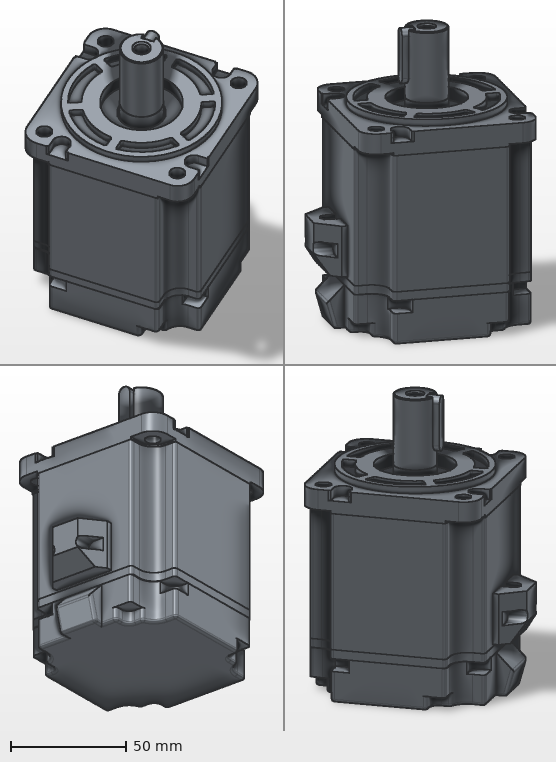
import cadquery as cq
import math


PILOT_TOP_Z = 3.0
EAR_UNDERSIDE_Z = -9.2
FLANGE_BOTTOM_Z = -10.4
STATOR_BOTTOM_Z = -72.1
SPACER_BOTTOM_Z = -76.2
MOTOR_BOTTOM_Z = -96.0

FRAME = 80.0
HALF = FRAME / 2
CHANNEL_RADIUS = 8.0
STATOR_CHANNEL_CENTRE = 34.5
COVER_CHANNEL_CENTRE = 34.1
CHANNEL_LIP_RADIUS = 1.6

FLANGE_CORNER_RADIUS = 8.0
BOLT_CIRCLE = 90.0
BOLT_HOLE = 7.0
BOLT_OFFSET = BOLT_CIRCLE / 2 / math.sqrt(2)
PILOT_RADIUS = 35.0
RECESS_RADIUS = 18.0
RECESS_FLOOR_Z = -3.0
SEAL_BORE_RADIUS = 10.6
SEAL_BORE_DEPTH = 3.0

ARC_POCKETS = 6
ARC_POCKET_OUTER_RADIUS = 32.0
ARC_POCKET_INNER_RADIUS = 26.0
ARC_POCKET_WEB = 4.6
ARC_POCKET_CORNER_RADIUS = 1.0
ARC_POCKET_FLOOR_Z = -0.3

EDGE_SLOT_OFFSET = 22.0
EDGE_SLOT_WIDTH = 8.2
EDGE_SLOT_LENGTH = 8.8
EDGE_SLOT_DEPTH = 4.6
EDGE_SLOT_MOUTH_WIDTH = 10.4
EDGE_SLOT_MOUTH_DEPTH = 0.4

POCKET_OUTER_SIDE = 28.0
COVER_BOTTOM_RADIUS = 1.5
SCREW_POCKET_HEIGHT = 5.8
SCREW_POCKET_BACK = 31.6
SCREW_POCKET_SIDE = 17.6
SCREW_POCKET_CORNER_RADIUS = 5.0
FOOT_POCKET_HEIGHT = 6.4
FOOT_POCKET_BACK = 32.2
FOOT_POCKET_SIDE = 18.0
FOOT_POCKET_CORNER_RADIUS = 3.8
FOOT_POCKET_EDGE_RADIUS = 1.9

OUTLET_WIDTH = 20.0
OUTLET_TIP_Y = 47.8
OUTLET_TIP_Z = -83.9
OUTLET_FOOT_Y = 44.4
OUTLET_EDGE_RADIUS = 1.5
OUTLET_ROOT_Y = 36.0

CONNECTOR_TOP_Z = -48.0
CONNECTOR_BOTTOM_Z = -71.0
CONNECTOR_HALF_WIDTH = 15.2
CONNECTOR_TIP_HALF_WIDTH = 7.0
CONNECTOR_SHOULDER_Y = 42.7
CONNECTOR_TIP_Y = 53.0
CONNECTOR_BEVEL_Y = 47.0
CONNECTOR_BEVEL_Z = -62.1
SOCKET_WIDTH = 7.0
SOCKET_END_Y = 48.2
SOCKET_DEPTH = 2.0
SCREW_SEAT_RADIUS = 3.1
SCREW_SEAT_X = 9.0
SCREW_SEAT_Y = 44.1
SCREW_SEAT_Z = -59.4

SHAFT_RADIUS = 9.5
SHAFT_TOP_Z = 35.0
SHAFT_CHAMFER = 0.5
JOURNAL_RADIUS = 9.6
TAP_RADIUS = 3.3
TAP_COUNTERSINK = 0.8
TAP_DEPTH = 20.0
KEY_SIZE = 6.0
KEY_LENGTH = 25.0
KEY_SEAT_Y = 6.0

QUARTER_TURNS = (0, 90, 180, 270)
Z_AXIS = ((0, 0, 0), (0, 0, 1))


def around_frame(tool):
    """One copy of a cutting tool on each of the four sides."""
    return [tool.rotate(*Z_AXIS, angle) for angle in QUARTER_TURNS]


def cut_each(body, tools):
    for tool in tools:
        body = body.cut(tool)
    return body


def channelled_prism(bottom_z, top_z, channel_centre):
    """Square prism whose four corners are hollowed by round-bottomed channels."""
    height = top_z - bottom_z
    base = cq.Workplane("XY").workplane(offset=bottom_z)
    prism = base.rect(FRAME, FRAME).extrude(height)
    reach = FRAME
    channel = (
        base.center(-channel_centre - reach / 2, -channel_centre - reach / 2)
        .rect(reach + 2 * CHANNEL_RADIUS, reach + 2 * CHANNEL_RADIUS)
        .extrude(height)
        .edges(">X and >Y")
        .fillet(CHANNEL_RADIUS)
    )
    prism = cut_each(prism, around_frame(channel))
    return prism


def round_upright_edge(body, x, y, radius):
    """Fillet the vertical edge that stands at (x, y)."""
    margin = 0.1
    beside_edge = cq.selectors.BoxSelector(
        (x - margin, y - margin, MOTOR_BOTTOM_Z), (x + margin, y + margin, PILOT_TOP_Z)
    )
    return body.edges("|Z").edges(beside_edge).fillet(radius)


def round_channel_lips(body, channel_centre):
    """Fillet the two edges where each channel meets the flat sides."""
    lip = channel_centre - CHANNEL_RADIUS
    for x in (-lip, lip):
        for y in (-HALF, HALF):
            body = round_upright_edge(body, x, y, CHANNEL_LIP_RADIUS)
            body = round_upright_edge(body, y, x, CHANNEL_LIP_RADIUS)
    return body


def edge_slot(offset, width, length, bottom_z, height):
    """Round-ended slot running in from the -Y side."""
    end_y = -HALF + length - width / 2
    base = cq.Workplane("XY").workplane(offset=bottom_z)
    run_out = base.center(offset, end_y - HALF / 2).rect(width, HALF).extrude(height)
    return run_out.union(base.center(offset, end_y).circle(width / 2).extrude(height))


def arc_pocket():
    """Ring sector beside the +Y axis with sides parallel to the webs."""
    height = PILOT_TOP_Z - ARC_POCKET_FLOOR_Z
    base = cq.Workplane("XY").workplane(offset=ARC_POCKET_FLOOR_Z)
    ring = base.circle(ARC_POCKET_OUTER_RADIUS).circle(ARC_POCKET_INNER_RADIUS).extrude(height)
    beside_web = base.center(PILOT_RADIUS + ARC_POCKET_WEB / 2, 0).rect(2 * PILOT_RADIUS, 4 * PILOT_RADIUS)
    first_side = beside_web.extrude(height)
    pitch = 360 / ARC_POCKETS
    second_side = first_side.rotate(*Z_AXIS, 180 - pitch)
    sector = ring.intersect(first_side).intersect(second_side)
    return sector.edges("|Z").fillet(ARC_POCKET_CORNER_RADIUS)


def make_flange():
    plate = (
        cq.Workplane("XY")
        .rect(FRAME, FRAME)
        .extrude(EAR_UNDERSIDE_Z)
        .edges("|Z")
        .fillet(FLANGE_CORNER_RADIUS)
    )
    spigot = channelled_prism(FLANGE_BOTTOM_Z, EAR_UNDERSIDE_Z, COVER_CHANNEL_CENTRE)
    pilot = cq.Workplane("XY").circle(PILOT_RADIUS).extrude(PILOT_TOP_Z)
    flange = plate.union(spigot).union(pilot)

    bolt_holes = (
        cq.Workplane("XY")
        .rect(2 * BOLT_OFFSET, 2 * BOLT_OFFSET, forConstruction=True)
        .vertices()
        .circle(BOLT_HOLE / 2)
        .extrude(FLANGE_BOTTOM_Z)
    )
    flange = flange.cut(bolt_holes)

    pocket = arc_pocket()
    flange = cut_each(flange, [pocket.rotate(*Z_AXIS, i * 360 / ARC_POCKETS) for i in range(ARC_POCKETS)])

    slot = edge_slot(-EDGE_SLOT_OFFSET, EDGE_SLOT_WIDTH, EDGE_SLOT_LENGTH, -EDGE_SLOT_DEPTH, EDGE_SLOT_DEPTH)
    mouth = cq.Workplane("XY").box(
        EDGE_SLOT_MOUTH_WIDTH, 2 * EDGE_SLOT_MOUTH_DEPTH, EDGE_SLOT_DEPTH
    ).translate((-EDGE_SLOT_OFFSET, -HALF, -EDGE_SLOT_DEPTH / 2))
    flange = cut_each(flange, around_frame(slot.union(mouth)))

    top = cq.Workplane("XY").workplane(offset=PILOT_TOP_Z)
    recess = top.circle(RECESS_RADIUS).extrude(RECESS_FLOOR_Z - PILOT_TOP_Z)
    seal_bore = top.circle(SEAL_BORE_RADIUS).extrude(RECESS_FLOOR_Z - SEAL_BORE_DEPTH - PILOT_TOP_Z)
    shaft_bore = top.circle(JOURNAL_RADIUS).extrude(FLANGE_BOTTOM_Z - PILOT_TOP_Z)
    return flange.cut(recess).cut(seal_bore).cut(shaft_bore)


def make_stator():
    prism = channelled_prism(STATOR_BOTTOM_Z, FLANGE_BOTTOM_Z, STATOR_CHANNEL_CENTRE)
    return round_channel_lips(prism, STATOR_CHANNEL_CENTRE)


def make_spacer():
    prism = channelled_prism(SPACER_BOTTOM_Z, STATOR_BOTTOM_Z, STATOR_CHANNEL_CENTRE)
    return round_channel_lips(prism, STATOR_CHANNEL_CENTRE)


def cable_outlet():
    """Wedge leaning out of the back of the cover."""
    outline = [
        (OUTLET_ROOT_Y, MOTOR_BOTTOM_Z),
        (OUTLET_ROOT_Y, SPACER_BOTTOM_Z),
        (HALF, SPACER_BOTTOM_Z),
        (OUTLET_TIP_Y, OUTLET_TIP_Z),
        (OUTLET_FOOT_Y, MOTOR_BOTTOM_Z),
    ]
    wedge = cq.Workplane("YZ").polyline(outline).close().extrude(OUTLET_WIDTH / 2, both=True)
    mid_face_y = (OUTLET_TIP_Y + OUTLET_FOOT_Y) / 2
    mid_face_z = (OUTLET_TIP_Z + MOTOR_BOTTOM_Z) / 2
    tip_face = wedge.faces(cq.selectors.NearestToPointSelector((0, mid_face_y, mid_face_z)))
    return tip_face.edges().fillet(OUTLET_EDGE_RADIUS)


def corner_pocket(side, back, corner_radius, bottom_z, height):
    """Pocket in the -Y side, from the channel at -X inwards to `side`."""
    width = POCKET_OUTER_SIDE - side
    depth = HALF - back
    return (
        cq.Workplane("XY")
        .box(width, 2 * depth, height)
        .edges("|Z and >X and >Y")
        .fillet(corner_radius)
        .translate((-side - width / 2, -HALF, bottom_z + height / 2))
    )


def round_foot_pocket_edges(cover):
    """Fillet each foot pocket where it meets the flat side and where it breaks into the channel."""
    back_to_centre = COVER_CHANNEL_CENTRE - FOOT_POCKET_BACK
    exit_x = COVER_CHANNEL_CENTRE - math.sqrt(CHANNEL_RADIUS**2 - back_to_centre**2)
    for angle in QUARTER_TURNS:
        cover = cover.rotate(*Z_AXIS, angle)
        cover = round_upright_edge(cover, FOOT_POCKET_SIDE, -HALF, FOOT_POCKET_EDGE_RADIUS)
        cover = round_upright_edge(cover, exit_x, -FOOT_POCKET_BACK, FOOT_POCKET_EDGE_RADIUS)
        cover = cover.rotate(*Z_AXIS, -angle)
    return cover


def make_rear_cover():
    cover = channelled_prism(MOTOR_BOTTOM_Z, SPACER_BOTTOM_Z, COVER_CHANNEL_CENTRE)
    cover = round_channel_lips(cover, COVER_CHANNEL_CENTRE)

    foot_pocket = corner_pocket(
        FOOT_POCKET_SIDE, FOOT_POCKET_BACK, FOOT_POCKET_CORNER_RADIUS, MOTOR_BOTTOM_Z, FOOT_POCKET_HEIGHT
    ).mirror("YZ")
    cover = cut_each(cover, around_frame(foot_pocket))
    cover = round_foot_pocket_edges(cover)

    cover = cover.union(cable_outlet())
    cover = cover.faces("<Z").edges().fillet(COVER_BOTTOM_RADIUS)

    screw_pocket = corner_pocket(
        SCREW_POCKET_SIDE,
        SCREW_POCKET_BACK,
        SCREW_POCKET_CORNER_RADIUS,
        SPACER_BOTTOM_Z - SCREW_POCKET_HEIGHT,
        SCREW_POCKET_HEIGHT,
    )
    return cut_each(cover, around_frame(screw_pocket))


def make_connector():
    plan = [
        (-CONNECTOR_HALF_WIDTH, HALF),
        (-CONNECTOR_HALF_WIDTH, CONNECTOR_SHOULDER_Y),
        (-CONNECTOR_TIP_HALF_WIDTH, CONNECTOR_TIP_Y),
        (CONNECTOR_TIP_HALF_WIDTH, CONNECTOR_TIP_Y),
        (CONNECTOR_HALF_WIDTH, CONNECTOR_SHOULDER_Y),
        (CONNECTOR_HALF_WIDTH, HALF),
    ]
    height = CONNECTOR_TOP_Z - CONNECTOR_BOTTOM_Z
    body = cq.Workplane("XY").workplane(offset=CONNECTOR_BOTTOM_Z).polyline(plan).close().extrude(height)

    bevel = [
        (CONNECTOR_TIP_Y, CONNECTOR_BEVEL_Z),
        (CONNECTOR_TIP_Y, CONNECTOR_BOTTOM_Z),
        (CONNECTOR_BEVEL_Y, CONNECTOR_BOTTOM_Z),
    ]
    body = body.cut(cq.Workplane("YZ").polyline(bevel).close().extrude(CONNECTOR_HALF_WIDTH, both=True))

    top = cq.Workplane("XY").workplane(offset=CONNECTOR_TOP_Z)
    socket_centre_y = SOCKET_END_Y - SOCKET_WIDTH / 2
    socket_run = socket_centre_y - HALF
    socket = top.center(0, HALF + socket_run / 2).rect(SOCKET_WIDTH, socket_run).extrude(-SOCKET_DEPTH)
    socket = socket.union(top.center(0, socket_centre_y).circle(SOCKET_WIDTH / 2).extrude(-SOCKET_DEPTH))
    body = body.cut(socket)

    seat_run = CONNECTOR_HALF_WIDTH - SCREW_SEAT_X
    seat_depth = CONNECTOR_TIP_Y - SCREW_SEAT_Y
    seat_floor = cq.Workplane("XZ", origin=(0, SCREW_SEAT_Y, SCREW_SEAT_Z))
    for side in (-1, 1):
        seat_end = seat_floor.center(side * SCREW_SEAT_X, 0).circle(SCREW_SEAT_RADIUS).extrude(-seat_depth)
        seat_side = (
            seat_floor.center(side * (SCREW_SEAT_X + seat_run / 2), 0)
            .rect(seat_run, 2 * SCREW_SEAT_RADIUS)
            .extrude(-seat_depth)
        )
        body = body.cut(seat_end).cut(seat_side)
    return body


def make_shaft():
    journal = cq.Workplane("XY").workplane(offset=FLANGE_BOTTOM_Z).circle(JOURNAL_RADIUS)
    shaft = journal.extrude(PILOT_TOP_Z - FLANGE_BOTTOM_Z)
    output = cq.Workplane("XY").workplane(offset=PILOT_TOP_Z).circle(SHAFT_RADIUS)
    shaft = shaft.union(output.extrude(SHAFT_TOP_Z - PILOT_TOP_Z).faces(">Z").chamfer(SHAFT_CHAMFER))
    shaft = shaft.faces(">Z").workplane().cskHole(
        2 * TAP_RADIUS, 2 * (TAP_RADIUS + TAP_COUNTERSINK), 90, TAP_DEPTH
    )

    key_bottom_z = SHAFT_TOP_Z - KEY_LENGTH
    keyway_end_z = key_bottom_z + KEY_SIZE / 2
    seat = cq.Workplane("XZ", origin=(0, KEY_SEAT_Y, keyway_end_z))
    keyway_height = SHAFT_TOP_Z - keyway_end_z
    keyway = seat.center(0, keyway_height / 2).rect(KEY_SIZE, keyway_height).extrude(-KEY_SIZE)
    keyway = keyway.union(seat.circle(KEY_SIZE / 2).extrude(-KEY_SIZE))
    return shaft.cut(keyway)


def make_key():
    middle = (0, KEY_SEAT_Y, SHAFT_TOP_Z - KEY_LENGTH / 2)
    return cq.Workplane("XZ", origin=middle).slot2D(KEY_LENGTH, KEY_SIZE, 90).extrude(-KEY_SIZE)


flange = make_flange()
stator = make_stator()
spacer = make_spacer()
rear_cover = make_rear_cover()
connector = make_connector()
shaft = make_shaft()
key = make_key()

result = cq.Compound.makeCompound([
    flange.val(),
    stator.val(),
    spacer.val(),
    rear_cover.val(),
    connector.val(),
    shaft.val(),
    key.val(),
])